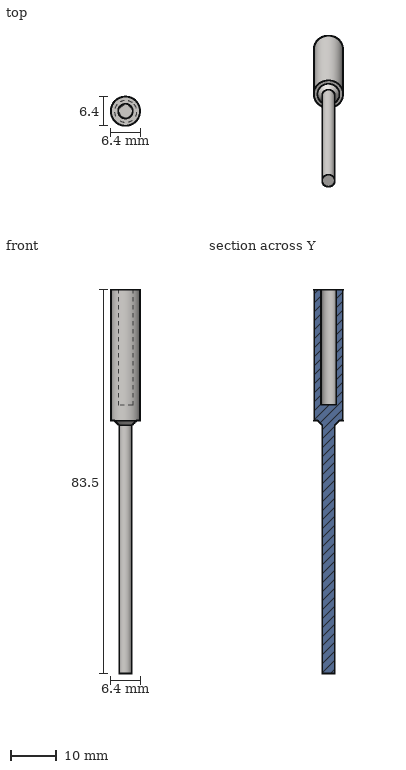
import cadquery as cq

total_length = 83.5
rod_diameter = 2.8
rod_length = 54.0
collar_height = 1.0
sleeve_diameter = 6.4
bore_diameter = 3.2
bore_depth = 25.0

rod_radius = rod_diameter / 2
sleeve_radius = sleeve_diameter / 2
collar_radius = rod_radius + collar_height
shoulder_z = rod_length + collar_height


def make_turned_body():
    """Rod, conical collar and sleeve, turned about the Z axis from Z = 0 upward."""
    half_section = (
        cq.Workplane("XZ")
        .moveTo(0, 0)
        .lineTo(rod_radius, 0)
        .lineTo(rod_radius, rod_length)
        .lineTo(collar_radius, shoulder_z)
        .lineTo(sleeve_radius, shoulder_z)
        .lineTo(sleeve_radius, total_length)
        .lineTo(0, total_length)
        .close()
    )
    return half_section.revolve(360, (0, 0, 0), (0, 1, 0))


def cut_sleeve_bore(body):
    """Flat-bottomed blind bore, open at the top of the sleeve."""
    bore = (
        cq.Workplane("XY")
        .workplane(offset=total_length - bore_depth)
        .circle(bore_diameter / 2)
        .extrude(bore_depth)
    )
    return body.cut(bore)


result = cut_sleeve_bore(make_turned_body())